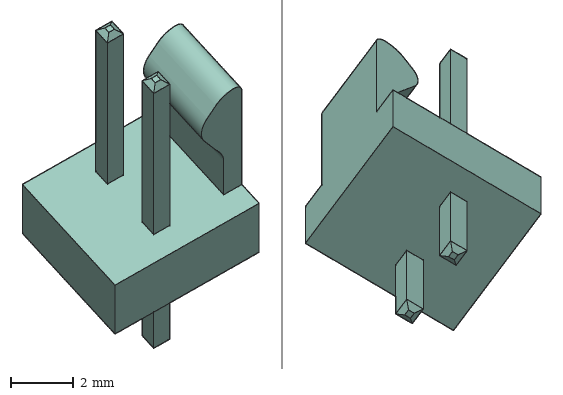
import cadquery as cq
import math


PITCH = 2.54
PIN_COUNT = 2
PIN_WIDTH = 0.64
PIN_ABOVE = 7.50
PIN_BELOW = 3.55
TIP_WIDTH = 0.22
TIP_HEIGHT = 0.18

BLOCK_LENGTH = PIN_COUNT * PITCH
BLOCK_HEIGHT = 2.54
BLOCK_FRONT = -2.54
BLOCK_BACK = 3.17

LATCH_WIDTH = (PIN_COUNT - 1) * PITCH + PIN_WIDTH
STEM_DEPTH = 0.72
HEAD_RADIUS = 1.0
NOSE_CENTER = (0.60, 3.81)
CROWN_CENTER = (0.26, 4.22)
NECK_RADIUS = 1.0
NECK_ANGLE = math.radians(30)
BACK_RADIUS = 0.33

PIN_POSITIONS = [((i - (PIN_COUNT - 1) / 2) * PITCH, 0) for i in range(PIN_COUNT)]


def on_circle(center, radius, angle):
    """Point on a circle, with the angle taken from the forward direction."""
    return (center[0] + radius * math.cos(angle), center[1] + radius * math.sin(angle))


def latch_profile():
    """Side profile of the latch."""
    center_slope = math.atan2(CROWN_CENTER[1] - NOSE_CENTER[1], CROWN_CENTER[0] - NOSE_CENTER[0])
    flat_normal = center_slope - math.pi / 2
    nose_top = on_circle(NOSE_CENTER, HEAD_RADIUS, flat_normal)
    nose_middle = on_circle(NOSE_CENTER, HEAD_RADIUS, 0)
    nose_bottom = on_circle(NOSE_CENTER, HEAD_RADIUS, -NECK_ANGLE)

    neck_top_depth = STEM_DEPTH + NECK_RADIUS * (1 - math.cos(NECK_ANGLE))
    neck_top_height = nose_bottom[1] - (nose_bottom[0] - neck_top_depth) / math.tan(NECK_ANGLE)
    neck_top = (neck_top_depth, neck_top_height)
    neck_center = (STEM_DEPTH + NECK_RADIUS, neck_top_height - NECK_RADIUS * math.sin(NECK_ANGLE))
    neck_middle = on_circle(neck_center, NECK_RADIUS, math.pi - NECK_ANGLE / 2)
    neck_bottom = on_circle(neck_center, NECK_RADIUS, math.pi)

    center_gap = HEAD_RADIUS - BACK_RADIUS
    meeting_angle = math.acos((BACK_RADIUS - CROWN_CENTER[0]) / center_gap)
    back_center = on_circle(CROWN_CENTER, center_gap, meeting_angle)
    crown_front = on_circle(CROWN_CENTER, HEAD_RADIUS, flat_normal)
    crown_middle = on_circle(CROWN_CENTER, HEAD_RADIUS, (flat_normal + meeting_angle) / 2)
    crown_back = on_circle(CROWN_CENTER, HEAD_RADIUS, meeting_angle)
    back_middle = on_circle(back_center, BACK_RADIUS, (meeting_angle + math.pi) / 2)
    back_bottom = on_circle(back_center, BACK_RADIUS, math.pi)

    plane = cq.Plane(
        origin=(LATCH_WIDTH / 2, BLOCK_BACK, BLOCK_HEIGHT),
        xDir=(0, -1, 0),
        normal=(-1, 0, 0),
    )
    return (
        cq.Workplane(plane)
        .lineTo(STEM_DEPTH, 0)
        .lineTo(*neck_bottom)
        .threePointArc(neck_middle, neck_top)
        .lineTo(*nose_bottom)
        .threePointArc(nose_middle, nose_top)
        .lineTo(*crown_front)
        .threePointArc(crown_middle, crown_back)
        .threePointArc(back_middle, back_bottom)
        .close()
    )


def make_housing():
    """Block with the latch on top and a square through hole for each pin."""
    block = (
        cq.Workplane("XY", origin=(0, BLOCK_FRONT, 0))
        .box(BLOCK_LENGTH, BLOCK_BACK - BLOCK_FRONT, BLOCK_HEIGHT, centered=(True, False, False))
    )
    latch = latch_profile().extrude(LATCH_WIDTH)
    pin_holes = (
        cq.Workplane("XY")
        .pushPoints(PIN_POSITIONS)
        .rect(PIN_WIDTH, PIN_WIDTH)
        .extrude(BLOCK_HEIGHT)
    )
    return block.union(latch).cut(pin_holes)


def make_tip(x, y, base_height, direction):
    """Tapered pin end that rises (direction 1) or hangs (direction -1) from its base."""
    tip_inset = (PIN_WIDTH - TIP_WIDTH) / 2
    plane = cq.Plane(origin=(x, y, base_height), xDir=(1, 0, 0), normal=(0, 0, direction))
    return (
        cq.Workplane(plane)
        .rect(PIN_WIDTH, PIN_WIDTH)
        .extrude(TIP_HEIGHT, taper=math.degrees(math.atan2(tip_inset, TIP_HEIGHT)))
    )


def make_pin(x, y):
    """Square pin through the block, tapered at both ends."""
    shaft_bottom = TIP_HEIGHT - PIN_BELOW
    shaft_top = BLOCK_HEIGHT + PIN_ABOVE - TIP_HEIGHT
    shaft = (
        cq.Workplane("XY", origin=(x, y, shaft_bottom))
        .rect(PIN_WIDTH, PIN_WIDTH)
        .extrude(shaft_top - shaft_bottom)
    )
    return shaft.union(make_tip(x, y, shaft_top, 1)).union(make_tip(x, y, shaft_bottom, -1))


housing = make_housing()
pins = [make_pin(x, y) for x, y in PIN_POSITIONS]

result = cq.Compound.makeCompound([housing.solids().val(), *[pin.solids().val() for pin in pins]])